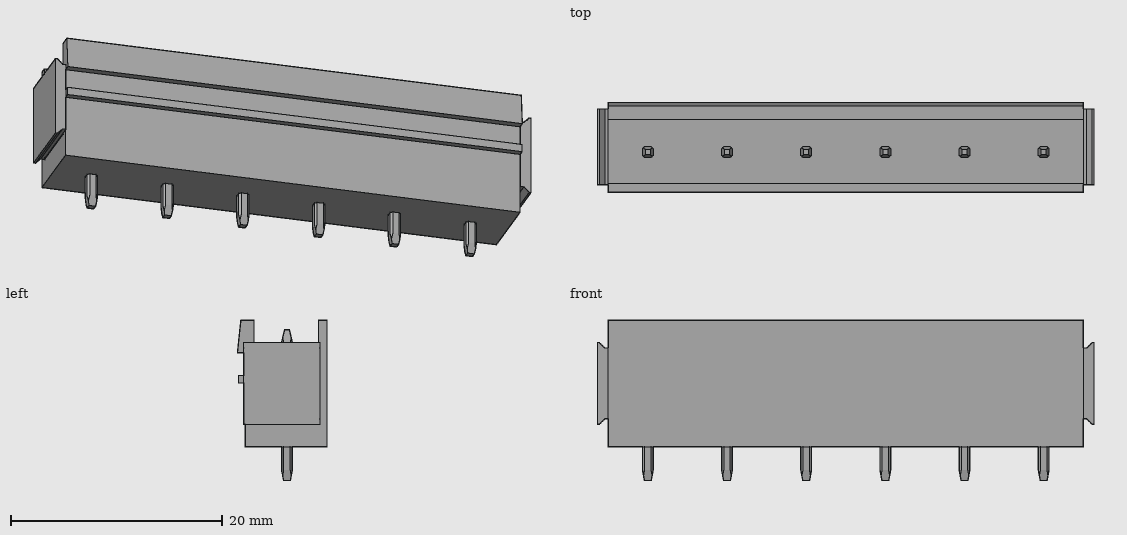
import cadquery as cq


overall_length = 47.0
flange_projection = 1.05
housing_length = overall_length - 2 * flange_projection
housing_depth = 7.75
housing_height = 12.0
front_wall = 0.85
cavity_back = 6.9
floor_thickness = 2.55

overall_depth = 8.5
latch_height = 3.1
latch_top_y = 8.2
rib_back_y = 8.4
rib_bottom = 6.0
rib_height = 0.75

flange_front = 0.7
flange_back = 7.9
flange_inset = 2.1
flange_bevel = 0.5
flange_lip = 0.2

pin_count = 6
pin_pitch = housing_length / pin_count
pin_width = 1.05
pin_corner_chamfer = 0.21
pin_center_y = 3.8
pin_bottom = -3.2
pin_top = 11.1
lower_tip_height = 1.0
lower_tip_width = 0.65
upper_tip_height = 1.2
upper_tip_width = 0.45


def box(x_range, y_range, z_range):
    """Box spanning the given (low, high) range along each axis."""
    size = [high - low for low, high in (x_range, y_range, z_range)]
    corner = (x_range[0], y_range[0], z_range[0])
    return cq.Workplane("XY").box(*size, centered=False).translate(corner)


def make_trough():
    """Floor, front wall and back wall, open at the top and at both ends."""
    length = (-housing_length / 2, housing_length / 2)
    block = box(length, (0, housing_depth), (0, housing_height))
    cavity = box(length, (front_wall, cavity_back), (floor_thickness, housing_height))
    return block.cut(cavity)


def make_latch():
    """Sloped catch along the top of the back wall."""
    latch_bottom = housing_height - latch_height
    profile = [
        (cavity_back, latch_bottom),
        (overall_depth, latch_bottom),
        (latch_top_y, housing_height),
        (cavity_back, housing_height),
    ]
    return cq.Workplane("YZ").polyline(profile).close().extrude(housing_length / 2, both=True)


def make_rib():
    """Thin rib along the back wall, below the latch."""
    return box(
        (-housing_length / 2, housing_length / 2),
        (cavity_back, rib_back_y),
        (rib_bottom, rib_bottom + rib_height),
    )


def make_right_flange():
    """End wall at +X, flaring to a taller outer edge above and below."""
    inner_x = housing_length / 2
    outer_x = overall_length / 2
    lip_x = outer_x - flange_lip
    neck_x = lip_x - flange_bevel
    bottom = flange_inset
    top = housing_height - flange_inset
    profile = [
        (inner_x, bottom + flange_bevel),
        (neck_x, bottom + flange_bevel),
        (lip_x, bottom),
        (outer_x, bottom),
        (outer_x, top),
        (lip_x, top),
        (neck_x, top - flange_bevel),
        (inner_x, top - flange_bevel),
    ]
    flange = cq.Workplane("XZ").polyline(profile).close().extrude(flange_front - flange_back)
    return flange.translate((0, flange_front, 0))


def pin_tip(base_z, tip_z, tip_width):
    """Four-sided taper from the pin shank at base_z to a square end at tip_z."""
    return (
        cq.Workplane("XY", origin=(0, 0, base_z))
        .rect(pin_width, pin_width)
        .workplane(offset=tip_z - base_z)
        .rect(tip_width, tip_width)
        .loft(ruled=True)
    )


def make_pin(x):
    """Square pin with chamfered long edges, tapered at both ends."""
    bar = (
        cq.Workplane("XY", origin=(0, 0, pin_bottom))
        .rect(pin_width, pin_width)
        .extrude(pin_top - pin_bottom)
        .edges("|Z")
        .chamfer(pin_corner_chamfer)
    )
    shank_bottom = pin_bottom + lower_tip_height
    shank_top = pin_top - upper_tip_height
    half_width = pin_width / 2
    side = (-half_width, half_width)
    envelope = (
        box(side, side, (shank_bottom, shank_top))
        .union(pin_tip(shank_bottom, pin_bottom, lower_tip_width))
        .union(pin_tip(shank_top, pin_top, upper_tip_width))
    )
    return bar.intersect(envelope).translate((x, pin_center_y, 0))


pins = []
for index in range(pin_count):
    pin_x = (index - (pin_count - 1) / 2) * pin_pitch
    pins.append(make_pin(pin_x))

right_flange = make_right_flange()
left_flange = right_flange.mirror("YZ")
housing = make_trough().union(make_latch()).union(make_rib())
housing = housing.union(right_flange).union(left_flange)
for pin in pins:
    housing = housing.cut(pin)

bodies = [body.solids().val() for body in [housing, *pins]]
result = cq.Compound.makeCompound(bodies)